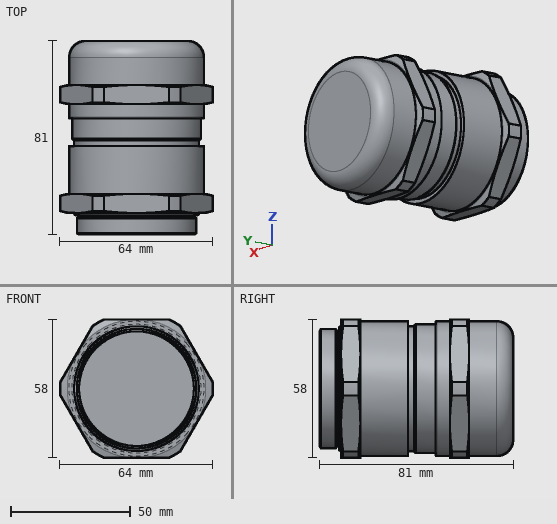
import cadquery as cq
import math


thread_diameter = 50.0
thread_length = 7.3
thread_chamfer_radial = 1.0
thread_chamfer_angle = 30.0
thread_chamfer_axial = thread_chamfer_radial * math.tan(math.radians(thread_chamfer_angle))
undercut_radius = thread_diameter / 2 - thread_chamfer_radial

seal_tube_radius = 1.0
seal_centre_radius = 25.1

hex_sides = 6
across_flats = 58.0
across_corners = 64.0
hex_height = 8.0
hex_chamfer_angle = 15.0
lower_hex_start = 9.0
upper_hex_start = 54.5

body_diameter = 56.5
body_end = 37.0
neck_diameter = 52.4
collar_diameter = 54.0
collar_start = 39.4
collar_chamfer = (collar_diameter - neck_diameter) / 2

cap_diameter = body_diameter
cap_start = 48.55
cap_rim_fillet = 0.5
dome_radius = 7.0
overall_length = 81.01


def make_turned_body():
    """Revolve the stepped profile of thread, body, collar and cap about Y."""
    thread_radius = thread_diameter / 2
    neck_radius = neck_diameter / 2
    collar_radius = collar_diameter / 2
    body_radius = body_diameter / 2
    cap_radius = cap_diameter / 2
    dome_start = overall_length - dome_radius
    profile = (
        cq.Workplane("XY")
        .moveTo(0, 0)
        .lineTo(thread_radius - thread_chamfer_radial, 0)
        .lineTo(thread_radius, thread_chamfer_axial)
        .lineTo(thread_radius, thread_length - thread_chamfer_axial)
        .lineTo(undercut_radius, thread_length)
        .lineTo(undercut_radius, lower_hex_start)
        .lineTo(body_radius, lower_hex_start)
        .lineTo(body_radius, body_end)
        .lineTo(neck_radius, body_end)
        .lineTo(neck_radius, collar_start)
        .lineTo(collar_radius, collar_start + collar_chamfer)
        .lineTo(collar_radius, cap_start)
        .lineTo(cap_radius - cap_rim_fillet, cap_start)
        .radiusArc((cap_radius, cap_start + cap_rim_fillet), -cap_rim_fillet)
        .lineTo(cap_radius, dome_start)
        .radiusArc((cap_radius - dome_radius, overall_length), -dome_radius)
        .lineTo(0, overall_length)
        .close()
    )
    return profile.revolve(360, (0, 0), (0, 1))


def make_hexagon(start):
    """Hexagon with turned corners and both faces chamfered, flats facing +Z and -Z."""
    sharp_corner_diameter = across_flats / math.cos(math.pi / hex_sides)
    prism = (
        cq.Workplane("XZ", origin=(0, start, 0))
        .polygon(hex_sides, sharp_corner_diameter)
        .extrude(-hex_height)
    )
    face_radius = across_flats / 2
    corner_radius = across_corners / 2
    chamfer_depth = (corner_radius - face_radius) * math.tan(math.radians(hex_chamfer_angle))
    end = start + hex_height
    turned_envelope = (
        cq.Workplane("XY")
        .moveTo(0, start)
        .lineTo(face_radius, start)
        .lineTo(corner_radius, start + chamfer_depth)
        .lineTo(corner_radius, end - chamfer_depth)
        .lineTo(face_radius, end)
        .lineTo(0, end)
        .close()
        .revolve(360, (0, 0), (0, 1))
    )
    return prism.intersect(turned_envelope)


def make_seal():
    """Round ring half sunk into the face of the lower hexagon."""
    return (
        cq.Workplane("XY")
        .center(seal_centre_radius, lower_hex_start)
        .circle(seal_tube_radius)
        .revolve(360, (-seal_centre_radius, 0), (-seal_centre_radius, 1))
    )


result = make_turned_body()
for hex_start in (lower_hex_start, upper_hex_start):
    result = result.union(make_hexagon(hex_start))
result = result.union(make_seal())